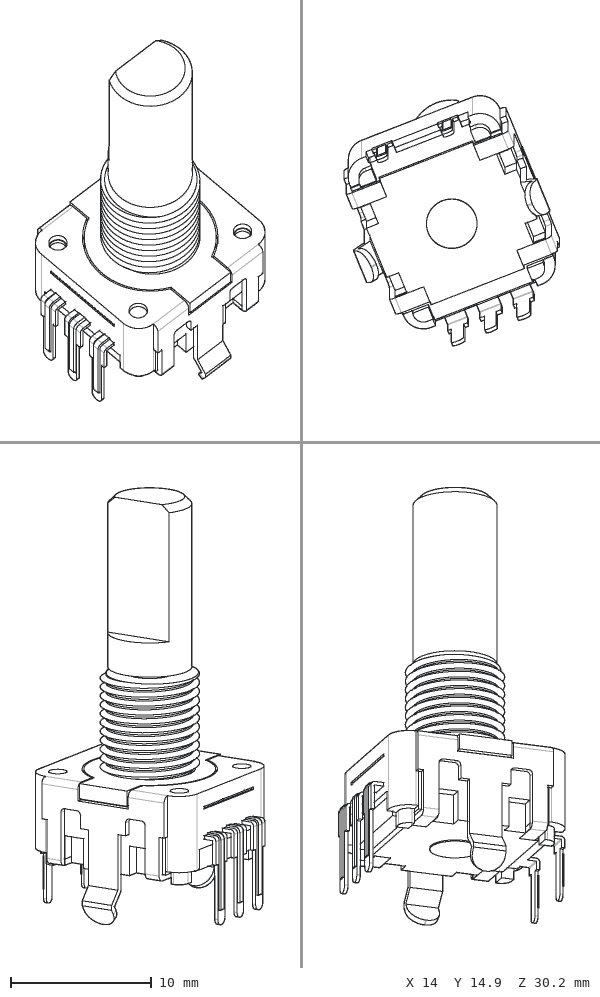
import cadquery as cq
import math


cover_x = 11.48
cover_y = 13.3
cover_height = 5.6
corner_radius = 1.5
wall_half_x = cover_x / 2
wall_half_y = cover_y / 2

sheet = 0.45
sheet_outer_x = wall_half_x + sheet
sheet_half_y = wall_half_y - corner_radius
sheet_step_z = -3.02
foot_outer_y = 4.7
foot_inner_y = 3.53
foot_end_x = 3.55
sheet_root_half_y = 1.9
leg_half_y = 1.25
leg_root_z = -3.3
opening_top_z = -2.02
opening_radius = 0.3
leg_bend_z = -7.37
leg_inner_bend_z = -7.52
knee_x = 7.0
knee_top_z = -8.3
knee_bottom_z = -8.67
knee_inner_x = 6.6
knee_inner_z = -8.5
leg_tip_outer = (6.15, -10.05)
leg_tip_inner = (5.77, -9.8)
leg_tip_radius = 1.2

top_hole_x = 4.15
top_hole_y = 5.1
top_hole_diameter = 1.3
top_hole_depth = 0.4
stepped_hole_diameter = 1.2
stepped_hole_step_depth = 0.48
stepped_hole_depth = 0.8
peg_outer_x = 4.98
peg_outer_y = 5.9
peg_corner_radius = 0.75
peg_bottom_z = -6.67
slit_length = 6.52
slit_depth = 0.15

flange_radius = 4.68
arm_half_y = 2.0
flange_thickness = 1.12
flange_gap = 0.12
under_arm_gap = 0.18
bushing_height = 7.05
thread_crest_radius = 3.53
thread_root_radius = 3.1
thread_turns = 10.8
thread_pitch = bushing_height / thread_turns
thread_sunk_radius = 3.05
thread_sunk_width = 0.6
thread_phase_z = 0.57

shaft_radius = 3.0
shaft_top_z = 19.95
shaft_bottom_z = 7.5
shaft_chamfer = 0.5
neck_diameter = 3.25
flat_x = -1.5
flat_bottom_z = 10.0

base_top_z = -1.8
base_bottom_z = -5.85
base_half_y = 4.95
base_lobe_half_x = 3.78
base_lobe_half_y = 6.15
boss_bottom_z = base_bottom_z - sheet
pad_diameter = 3.6
pad_thickness = 0.1
side_recess_inner_y = 1.93
side_recess_outer_y = 3.5
side_recess_depth = 0.9
recess_top_z = -4.15
window_half_x = 3.9

terminal_spacing = 2.5
terminal_embed = 0.3
terminal_root_y = base_lobe_half_y - terminal_embed
bend_radius = 0.3
front_top_z = -3.25
front_reach_y = 7.6
front_shoulder_z = -5.32
front_tip_z = -9.8
front_thickness = 0.27
front_shoulder_width = 1.5
front_blade_width = 0.97
centre_shoulder_width = 1.63
centre_blade_width = 0.88
front_rib_bottom_z = -8.7
rib_height = 0.1
rib_base_width = 0.63
rib_top_width = 0.45
centre_rib_base_width = 0.8
rear_top_z = -5.62
rear_reach_y = 7.1
rear_shoulder_z = -6.45
overall_height = 30.2
rear_tip_z = shaft_top_z - overall_height
rear_thickness = rear_top_z - base_bottom_z
rear_shoulder_width = 1.5
rear_blade_width = 0.8
rear_rib_top_z = -6.75
rear_rib_bottom_z = -9.18


def block(x_range, y_range, z_range):
    """Box between the given limits along each axis."""
    size = [limits[1] - limits[0] for limits in (x_range, y_range, z_range)]
    corner = (x_range[0], y_range[0], z_range[0])
    return cq.Workplane("XY").box(*size, centered=False).translate(corner)


def centred_block(half_x, half_y, bottom_z, top_z):
    """Box symmetric about the shaft axis."""
    return block((-half_x, half_x), (-half_y, half_y), (bottom_z, top_z))


def cylinder(diameter, bottom_z, top_z, x=0.0, y=0.0):
    return cq.Workplane("XY", origin=(x, y, bottom_z)).circle(diameter / 2).extrude(top_z - bottom_z)



def bent_path(top_z, reach_y, bottom_z):
    """Path that runs out along -Y at top_z, bends, and runs down to bottom_z."""
    diagonal = bend_radius * (1 - math.sqrt(0.5))
    return (
        cq.Workplane("YZ")
        .moveTo(-terminal_root_y, top_z)
        .lineTo(-reach_y + bend_radius, top_z)
        .threePointArc((-reach_y + diagonal, top_z - diagonal), (-reach_y, top_z - bend_radius))
        .lineTo(-reach_y, bottom_z)
    )


def bent_strip(section, top_z, reach_y, bottom_z):
    """Sweep a section, given as (x, height above the outer face), along the bent path."""
    start = cq.Workplane("XZ", origin=(0, -terminal_root_y, top_z))
    return start.polyline(section).close().sweep(bent_path(top_z, reach_y, bottom_z))


def terminal(shoulder_width, blade_width, thickness, top_z, reach_y, shoulder_z, tip_z):
    """Bent sheet terminal with a wide shoulder and a round-tipped blade."""
    half_shoulder = shoulder_width / 2
    half_blade = blade_width / 2
    section = [
        (-half_shoulder, -thickness),
        (half_shoulder, -thickness),
        (half_shoulder, 0),
        (-half_shoulder, 0),
    ]
    shoulder = bent_strip(section, top_z, reach_y, shoulder_z)
    blade = (
        cq.Workplane("XZ", origin=(0, -reach_y + thickness, 0))
        .moveTo(-half_blade, top_z - bend_radius - thickness)
        .lineTo(-half_blade, tip_z + half_blade)
        .threePointArc((0, tip_z), (half_blade, tip_z + half_blade))
        .lineTo(half_blade, top_z - bend_radius - thickness)
        .close()
        .extrude(thickness)
    )
    return shoulder.union(blade)


def front_terminal(x, shoulder_width, blade_width, rib_width):
    """Front terminal with a stiffening rib that follows the bend."""
    body = terminal(
        shoulder_width,
        blade_width,
        front_thickness,
        front_top_z,
        front_reach_y,
        front_shoulder_z,
        front_tip_z,
    )
    rib_section = [
        (-rib_width / 2, 0),
        (rib_width / 2, 0),
        (rib_top_width / 2, rib_height),
        (-rib_top_width / 2, rib_height),
    ]
    rib = bent_strip(rib_section, front_top_z, front_reach_y, front_rib_bottom_z)
    return body.union(rib).translate((x, 0, 0))


def rear_terminal(x):
    """Rear terminal with a rib on its blade only."""
    body = terminal(
        rear_shoulder_width,
        rear_blade_width,
        rear_thickness,
        rear_top_z,
        rear_reach_y,
        rear_shoulder_z,
        rear_tip_z,
    )
    half_rib = rib_base_width / 2
    rib = block(
        (-half_rib, half_rib),
        (-rear_reach_y - rib_height, -rear_reach_y),
        (rear_rib_bottom_z, rear_rib_top_z),
    )
    return body.union(rib).rotate((0, 0, 0), (0, 0, 1), 180).translate((x, 0, 0))


def cut_side_recesses(body):
    """Cut the four open-bottomed recesses behind the openings of the side sheets."""
    recess = block(
        (wall_half_x - side_recess_depth, wall_half_x),
        (side_recess_inner_y, side_recess_outer_y),
        (boss_bottom_z, recess_top_z),
    )
    recess = recess.union(recess.mirror("XZ"))
    return body.cut(recess).cut(recess.mirror("YZ"))



def make_base():
    body = centred_block(wall_half_x, base_half_y, base_bottom_z, base_top_z)
    body = body.union(centred_block(base_lobe_half_x, base_lobe_half_y, base_bottom_z, base_top_z))
    body = body.union(centred_block(foot_end_x, base_half_y, boss_bottom_z, base_bottom_z))
    body = body.union(centred_block(wall_half_x, foot_inner_y, boss_bottom_z, base_bottom_z))
    body = body.union(cylinder(pad_diameter, boss_bottom_z - pad_thickness, boss_bottom_z))

    body = cut_side_recesses(body)

    body = body.union(front_terminal(0, centre_shoulder_width, centre_blade_width, centre_rib_base_width))
    for x in (-terminal_spacing, terminal_spacing):
        body = body.union(front_terminal(x, front_shoulder_width, front_blade_width, rib_base_width))
        body = body.union(rear_terminal(x))
    return body



def flange_shape(growth, arm_end_x, depth):
    """Round flange with two arms along X, its top at z = 0, grown all round by a gap."""
    disc = cylinder(2 * (flange_radius + growth), -depth, 0)
    return disc.union(centred_block(arm_end_x, arm_half_y + growth, -depth, 0))


def make_thread_ridge():
    """Right-hand triangular ridge, sunk into the neck, that runs past both ends of the neck."""
    start_z = thread_phase_z - 2 * thread_pitch
    length = bushing_height - start_z + thread_pitch
    helix = cq.Workplane(obj=cq.Wire.makeHelix(thread_pitch, length, thread_root_radius))
    half_width = thread_sunk_width / 2
    ridge = (
        cq.Workplane("XZ")
        .polyline([
            (thread_sunk_radius, -half_width),
            (thread_crest_radius, 0),
            (thread_sunk_radius, half_width),
        ])
        .close()
        .sweep(helix, isFrenet=True)
    )
    return ridge.translate((0, 0, start_z))


def make_bushing():
    neck = cylinder(2 * thread_root_radius, 0, bushing_height)
    thread_zone = cylinder(2 * flange_radius, 0, bushing_height)
    ridge = make_thread_ridge().intersect(thread_zone)
    body = neck.union(ridge).union(flange_shape(0, sheet_outer_x, flange_thickness))
    return body.cut(cylinder(neck_diameter, -flange_thickness, bushing_height))



def make_shaft():
    body = cylinder(2 * shaft_radius, shaft_bottom_z, shaft_top_z).faces(">Z").chamfer(shaft_chamfer)
    flat = block((-shaft_radius, flat_x), (-shaft_radius, shaft_radius), (flat_bottom_z, shaft_top_z))
    return body.cut(flat).union(cylinder(neck_diameter, -flange_thickness, shaft_bottom_z))



def make_leg():
    """Snap-in leg on the +X side, kinked outwards and then inwards to a rounded tip."""
    leg = (
        cq.Workplane("XZ", origin=(0, leg_half_y, 0))
        .polyline([
            (wall_half_x, base_bottom_z),
            (sheet_outer_x, base_bottom_z),
            (sheet_outer_x, leg_bend_z),
            (knee_x, knee_top_z),
            (knee_x, knee_bottom_z),
            leg_tip_outer,
            leg_tip_inner,
            (knee_inner_x, knee_inner_z),
            (wall_half_x, leg_inner_bend_z),
        ])
        .close()
        .extrude(2 * leg_half_y)
    )
    tip_x = (leg_tip_outer[0] + leg_tip_inner[0]) / 2
    tip_z = (leg_tip_outer[1] + leg_tip_inner[1]) / 2
    for y in (-leg_half_y, leg_half_y):
        leg = leg.edges(cq.selectors.NearestToPointSelector((tip_x, y, tip_z))).fillet(leg_tip_radius)
    return leg


def make_sheet_opening():
    """Opening between the leg and the foot on the +Y side, through the +X sheet."""
    x_range = (foot_end_x, sheet_outer_x)
    narrow = block(x_range, (sheet_root_half_y, foot_inner_y), (boss_bottom_z, opening_top_z))
    narrow = narrow.edges("|X and >Z").fillet(opening_radius)
    return narrow.union(block(x_range, (leg_half_y, foot_inner_y), (boss_bottom_z, leg_root_z)))


def make_side_sheet():
    """Sheet on the +X side: bends at top and bottom, two feet folded under the base, one leg."""
    body = (
        cq.Workplane("XZ", origin=(0, sheet_half_y, 0))
        .moveTo(wall_half_x, 0)
        .radiusArc((sheet_outer_x, -sheet), sheet)
        .lineTo(sheet_outer_x, base_bottom_z)
        .radiusArc((wall_half_x, boss_bottom_z), sheet)
        .lineTo(foot_end_x, boss_bottom_z)
        .lineTo(foot_end_x, base_bottom_z)
        .lineTo(wall_half_x, base_bottom_z)
        .close()
        .extrude(2 * sheet_half_y)
    )
    x_range = (foot_end_x, sheet_outer_x)
    corner_cut = block(x_range, (foot_outer_y, sheet_half_y), (boss_bottom_z, sheet_step_z))
    opening = make_sheet_opening()
    for cut in (corner_cut, opening):
        body = body.cut(cut).cut(cut.mirror("XZ"))
    below_leg = block(x_range, (-leg_half_y, leg_half_y), (boss_bottom_z, base_bottom_z))
    return body.cut(below_leg).union(make_leg())


def make_corner_peg(side_x, side_y):
    """Peg below a corner of the cover, rounded on its outer corner only."""
    peg = block((base_lobe_half_x, peg_outer_x), (base_half_y, peg_outer_y), (peg_bottom_z, -cover_height))
    peg = peg.edges("|Z and >X and >Y").fillet(peg_corner_radius)
    if side_x < 0:
        peg = peg.mirror("YZ")
    if side_y < 0:
        peg = peg.mirror("XZ")
    return peg


def make_cover(base):
    body = centred_block(wall_half_x, wall_half_y, -cover_height, 0)
    body = cut_side_recesses(body.edges("|Z").fillet(corner_radius))
    side_sheet = make_side_sheet()
    body = body.union(side_sheet).union(side_sheet.mirror("YZ"))

    for side_x in (-1, 1):
        for side_y in (-1, 1):
            body = body.union(make_corner_peg(side_x, side_y))
            x = side_x * top_hole_x
            y = side_y * top_hole_y
            stepped = side_x == side_y
            rim_depth = stepped_hole_step_depth if stepped else top_hole_depth
            body = body.cut(cylinder(top_hole_diameter, -rim_depth, 0, x, y))
            if stepped:
                body = body.cut(cylinder(stepped_hole_diameter, -stepped_hole_depth, 0, x, y))

    body = body.cut(flange_shape(flange_gap, sheet_outer_x, flange_thickness))
    notch_bottom_z = -flange_thickness - under_arm_gap
    notch = block(
        (wall_half_x, sheet_outer_x),
        (-arm_half_y - flange_gap, arm_half_y + flange_gap),
        (notch_bottom_z, 0),
    )
    body = body.cut(notch).cut(notch.mirror("YZ"))

    slit = block(
        (-slit_length / 2, slit_length / 2),
        (-wall_half_y, -wall_half_y + slit_depth),
        (notch_bottom_z, -flange_thickness),
    )
    body = body.cut(slit)

    window = block(
        (-window_half_x, window_half_x),
        (base_lobe_half_y, wall_half_y),
        (-cover_height, recess_top_z),
    )
    body = body.cut(window).cut(window.mirror("XZ"))

    return body.cut(base)


base = make_base()
bushing = make_bushing()
shaft = make_shaft()
cover = make_cover(base)

result = cq.Compound.makeCompound([body.solids().val() for body in (base, bushing, shaft, cover)])